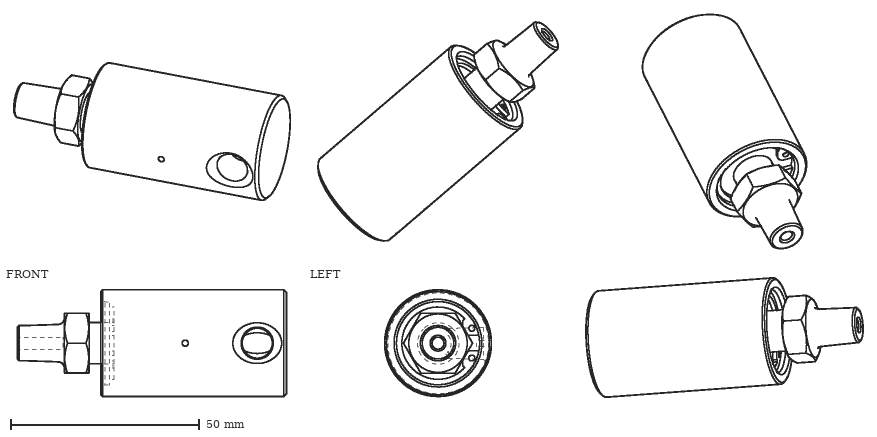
import cadquery as cq
import math

total_length = 71.48
nut_start = 12.5
nut_end = 19.05
body_start = 22.15

tip_diameter = 9.38
tip_chamfer = 0.5
thread_taper = 1 / 16
thread_end = 10.85
flare_radius = nut_start - thread_end

stem_bore_diameter = 3.2
stem_bore_chamfer = 0.5
stem_bore_depth = 12.0

nut_across_flats = 15.875
nut_chamfer_diameter = 15.5
nut_chamfer_angle = 30
shaft_diameter = 11.0

body_diameter = 28.37
body_front_chamfer = 0.5
body_rear_chamfer = 0.8

recess_diameter = 22.07
recess_mouth_diameter = 23.3
recess_mouth_angle = 30
recess_depth = 3.4

ring_thickness = 1.1
ring_inner_diameter = 19.2
ring_gap = 4.1
lug_inner_y = 6.6
lug_outer_z = 6.6
lug_outer_chamfer = 0.6
lug_gap_corner_radius = 2.0
lug_hole_diameter = 1.57
lug_hole_y = 8.98
lug_hole_z = 3.95

port_x = 63.66
port_mouth_diameter = 12.96
port_end_diameter = 7.95
port_end_y = 2.73
port_countersink_depth = 2.2
port_drill_point_angle = 118
core_diameter = 6.8

weep_x = 44.55
weep_diameter = 1.6
weep_depth = 4.0


def x_cylinder(diameter, start, length):
    """Cylinder on the X axis."""
    return cq.Workplane("YZ", origin=(start, 0, 0)).circle(diameter / 2).extrude(length)


def revolve_about_x(profile):
    return profile.close().revolve(360, (0, 0, 0), (1, 0, 0))


def make_stem():
    tip_radius = tip_diameter / 2
    thread_end_radius = tip_radius + thread_taper * (thread_end - tip_chamfer) / 2
    flare_mid = flare_radius * math.sqrt(0.5)
    flare_center_radius = thread_end_radius + flare_radius
    return revolve_about_x(
        cq.Workplane("XY")
        .moveTo(0, 0)
        .lineTo(0, tip_radius - tip_chamfer)
        .lineTo(tip_chamfer, tip_radius)
        .lineTo(thread_end, thread_end_radius)
        .threePointArc(
            (thread_end + flare_mid, flare_center_radius - flare_mid),
            (nut_start, flare_center_radius),
        )
        .lineTo(nut_start, 0)
    )


def make_stem_bore():
    bore = x_cylinder(stem_bore_diameter, 0, stem_bore_depth)
    mouth_radius = stem_bore_diameter / 2 + stem_bore_chamfer
    mouth = revolve_about_x(
        cq.Workplane("XY").moveTo(0, 0).lineTo(0, mouth_radius).lineTo(mouth_radius, 0)
    )
    return bore.union(mouth)


def make_nut():
    """Hexagon with corners on +Y and -Y, both ends chamfered by cones."""
    across_corners = nut_across_flats / math.cos(math.pi / 6)
    length = nut_end - nut_start
    hexagon = (
        cq.Workplane("YZ", origin=(nut_start, 0, 0)).polygon(6, across_corners).extrude(length)
    )
    face_radius = nut_chamfer_diameter / 2
    corner_radius = across_corners / 2
    chamfer_length = (corner_radius - face_radius) * math.tan(math.radians(nut_chamfer_angle))
    envelope = revolve_about_x(
        cq.Workplane("XY")
        .moveTo(nut_start, 0)
        .lineTo(nut_start, face_radius)
        .lineTo(nut_start + chamfer_length, corner_radius)
        .lineTo(nut_end - chamfer_length, corner_radius)
        .lineTo(nut_end, face_radius)
        .lineTo(nut_end, 0)
    )
    return hexagon.intersect(envelope)


def make_body():
    body = x_cylinder(body_diameter, body_start, total_length - body_start)
    body = body.faces("<X").chamfer(body_front_chamfer)
    return body.faces(">X").chamfer(body_rear_chamfer)


def make_recess():
    recess_radius = recess_diameter / 2
    mouth_radius = recess_mouth_diameter / 2
    mouth_length = (mouth_radius - recess_radius) / math.tan(math.radians(recess_mouth_angle))
    floor = body_start + recess_depth
    return revolve_about_x(
        cq.Workplane("XY")
        .moveTo(body_start, 0)
        .lineTo(body_start, mouth_radius)
        .lineTo(body_start + mouth_length, recess_radius)
        .lineTo(floor, recess_radius)
        .lineTo(floor, 0)
    )


def make_lug(start, side):
    """Drilled lug beside the ring gap; side is 1 for +Z and -1 for -Z."""
    gap_z = side * ring_gap / 2
    outer_z = side * lug_outer_z
    chamfer = lug_outer_chamfer
    corner = lug_gap_corner_radius
    rounding = corner * (1 - math.sqrt(0.5))
    return (
        cq.Workplane("YZ", origin=(start, 0, 0))
        .moveTo(-recess_diameter / 2, gap_z)
        .lineTo(-lug_inner_y - corner, gap_z)
        .threePointArc(
            (-lug_inner_y - rounding, gap_z + side * rounding),
            (-lug_inner_y, gap_z + side * corner),
        )
        .lineTo(-lug_inner_y, outer_z - side * chamfer)
        .lineTo(-lug_inner_y - chamfer, outer_z)
        .lineTo(-recess_diameter / 2, outer_z)
        .close()
        .extrude(ring_thickness)
    )


def make_retaining_ring():
    """Ring with a gap at -Y and a drilled lug on each side of the gap."""
    start = body_start + recess_depth - ring_thickness
    outline = x_cylinder(recess_diameter, start, ring_thickness)
    gap = (
        cq.Workplane("YZ", origin=(start, 0, 0))
        .center(-recess_diameter / 2, 0)
        .rect(recess_diameter, ring_gap)
        .extrude(ring_thickness)
    )
    ring = outline.cut(x_cylinder(ring_inner_diameter, start, ring_thickness)).cut(gap)
    for side in (1, -1):
        ring = ring.union(make_lug(start, side).intersect(outline))
    holes = (
        cq.Workplane("YZ", origin=(start, 0, 0))
        .pushPoints([(-lug_hole_y, -lug_hole_z), (-lug_hole_y, lug_hole_z)])
        .circle(lug_hole_diameter / 2)
        .extrude(ring_thickness)
    )
    return ring.cut(holes)


def make_port():
    """Countersunk tapered port with a drill point that stops on a round core."""
    mouth_y = body_diameter / 2
    mouth_radius = port_mouth_diameter / 2
    end_radius = port_end_diameter / 2
    taper_start_y = mouth_y - port_countersink_depth
    taper_start_radius = end_radius + thread_taper * (taper_start_y - port_end_y) / 2
    point_length = end_radius / math.tan(math.radians(port_drill_point_angle / 2))
    port = (
        cq.Workplane("XY", origin=(port_x, 0, 0))
        .moveTo(0, -mouth_y)
        .lineTo(mouth_radius, -mouth_y)
        .lineTo(taper_start_radius, -taper_start_y)
        .lineTo(end_radius, -port_end_y)
        .lineTo(0, point_length - port_end_y)
        .close()
        .revolve(360, (0, 0, 0), (0, 1, 0))
    )
    core = x_cylinder(core_diameter, port_x - mouth_radius, port_mouth_diameter)
    return port.cut(core)


def make_weep_hole():
    return (
        cq.Workplane("XZ", origin=(weep_x, -body_diameter / 2, 0))
        .circle(weep_diameter / 2)
        .extrude(-weep_depth)
    )


body = make_body().cut(make_recess()).cut(make_port()).cut(make_weep_hole())
shaft = x_cylinder(shaft_diameter, nut_end, body_start + recess_depth - nut_end)
stem = make_stem().union(make_nut()).cut(make_stem_bore())
result = body.union(make_retaining_ring()).union(shaft).union(stem)